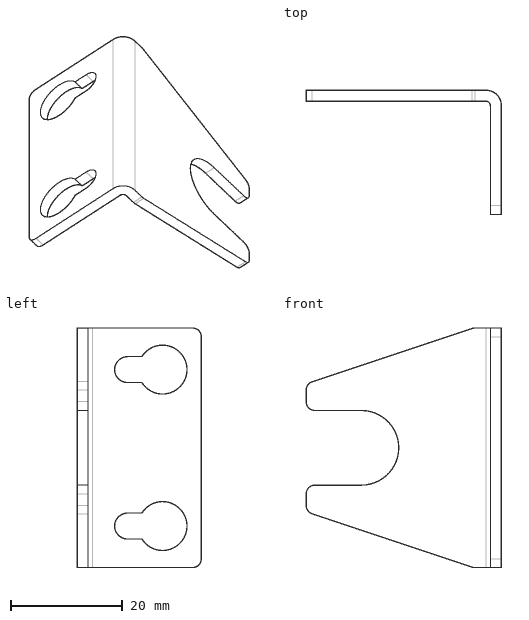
import cadquery as cq

width = 34.92
depth = 22.23
height = 42.86

thickness = 2.0
inner_bend_radius = 0.75
outer_bend_radius = inner_bend_radius + thickness

corner_radius = 1.6

edge_strip = 5.0
tip_height = 22.9
fork_slot_width = 13.3
fork_slot_depth = 16.55

keyhole_spacing = 27.96
keyhole_head_radius = 4.35
keyhole_neck_radius = 2.3
keyhole_head_y = 6.95
keyhole_neck_y = 13.2


def fork_outline():
    """Tapered, slotted outline seen along Y, extruded through the full depth."""
    shoulder_x = width - edge_strip
    plate = (
        cq.Workplane("XZ")
        .moveTo(0, -tip_height / 2)
        .lineTo(shoulder_x, -height / 2)
        .lineTo(width, -height / 2)
        .lineTo(width, height / 2)
        .lineTo(shoulder_x, height / 2)
        .lineTo(0, tip_height / 2)
        .close()
        .extrude(-depth)
    )
    slot_radius = fork_slot_width / 2
    slot_center_x = fork_slot_depth - slot_radius
    slot = (
        cq.Workplane("XZ")
        .moveTo(0, -slot_radius)
        .lineTo(slot_center_x, -slot_radius)
        .threePointArc((fork_slot_depth, 0), (slot_center_x, slot_radius))
        .lineTo(0, slot_radius)
        .close()
        .extrude(-depth)
    )
    plate = plate.cut(slot).edges("|Y and <X").fillet(corner_radius)
    shoulder_zone = cq.selectors.BoxSelector(
        (shoulder_x - corner_radius, 0, -height),
        (shoulder_x + corner_radius, depth, height),
    )
    return plate.edges("|Y").edges(shoulder_zone).fillet(corner_radius)


def bent_sheet():
    """L-shaped sheet with a rounded bend, full height."""
    sheet = (
        cq.Workplane("XY", origin=(0, 0, -height / 2))
        .moveTo(0, depth)
        .lineTo(width, depth)
        .lineTo(width, 0)
        .lineTo(width - thickness, 0)
        .lineTo(width - thickness, depth - thickness)
        .lineTo(0, depth - thickness)
        .close()
        .extrude(height)
    )
    sheet = sheet.edges("|Z and >X and >Y").fillet(outer_bend_radius)
    inner_corner = cq.selectors.NearestToPointSelector((width - thickness, depth - thickness, 0))
    return sheet.edges(inner_corner).fillet(inner_bend_radius)


def keyhole(center_z):
    """Cutter for one keyhole through the flange, neck pointing toward the bend."""
    flange_plane = cq.Workplane("YZ", origin=(width - thickness, 0, center_z))
    head = flange_plane.center(keyhole_head_y, 0).circle(keyhole_head_radius).extrude(thickness)
    neck_length = keyhole_neck_y - keyhole_head_y
    neck_end = flange_plane.center(keyhole_neck_y, 0).circle(keyhole_neck_radius).extrude(thickness)
    neck = (
        flange_plane.center(keyhole_head_y + neck_length / 2, 0)
        .rect(neck_length, 2 * keyhole_neck_radius)
        .extrude(thickness)
    )
    return head.union(neck).union(neck_end)


result = bent_sheet().intersect(fork_outline())
result = result.edges("|X and <Y").fillet(corner_radius)
for side in (-1, 1):
    result = result.cut(keyhole(side * keyhole_spacing / 2))